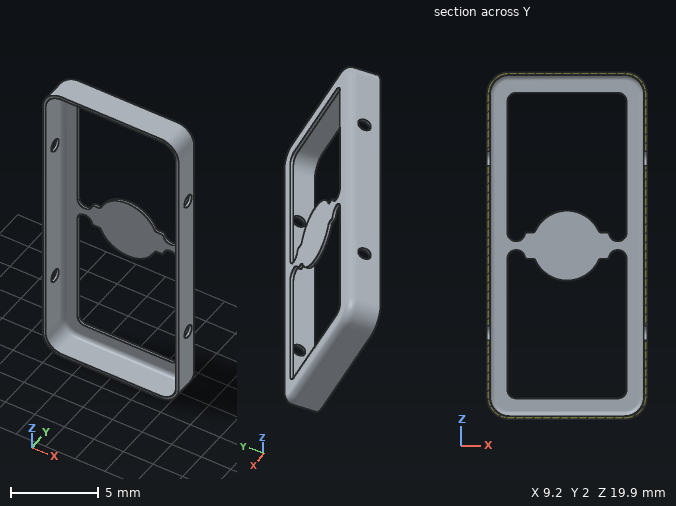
import cadquery as cq

width = 9.2
depth = 2.0
height = 19.9
wall = 0.2
corner_radius = 1.27
floor_edge_radius = 0.5

window_width = 6.8
window_height = 17.47
window_radius = 0.5
bridge_width = 0.52
disc_radius = 2.0
tab_edge_radius = 0.14

hole_diameter = 0.8
hole_spacing = 9.99

back = depth / 2
floor_inner = back - wall


def rounded_tray(inset):
    """Solid tray envelope, shrunk by inset on the sides and on the floor."""
    length = depth - inset
    return (
        cq.Workplane("XZ", origin=(0, -back, 0))
        .rect(width - 2 * inset, height - 2 * inset)
        .extrude(-length)
        .edges("|Y")
        .fillet(corner_radius - inset)
        .faces(">Y")
        .edges()
        .fillet(floor_edge_radius - inset)
    )


def floor_plane():
    return cq.Workplane("XZ", origin=(0, floor_inner, 0))


def upper_window():
    """Cutter above the bridge: round notches beside the tabs, and an arched cut around the disc."""
    tab_top = bridge_width / 2 + window_radius
    window_top = window_height / 2
    notch_x = window_width / 2 - window_radius
    opening = (
        floor_plane()
        .center(0, (tab_top + window_top) / 2)
        .rect(window_width, window_top - tab_top)
        .extrude(-wall)
        .edges("|Y and >Z")
        .fillet(window_radius)
    )
    notches = (
        floor_plane()
        .pushPoints([(-notch_x, tab_top), (notch_x, tab_top)])
        .circle(window_radius)
        .extrude(-wall)
    )
    disc = floor_plane().circle(disc_radius).extrude(-wall)
    tab_corners = cq.selectors.BoxSelector(
        (-notch_x, -depth, tab_top - tab_edge_radius),
        (notch_x, depth, tab_top + tab_edge_radius),
    )
    return opening.union(notches).cut(disc).edges("|Y").edges(tab_corners).fillet(tab_edge_radius)


def wall_holes():
    return (
        cq.Workplane("YZ")
        .pushPoints([(0, -hole_spacing / 2), (0, hole_spacing / 2)])
        .circle(hole_diameter / 2)
        .extrude(width / 2, both=True)
    )


window = upper_window()
result = (
    rounded_tray(0)
    .cut(rounded_tray(wall))
    .cut(window)
    .cut(window.mirror("XY"))
    .cut(wall_holes())
)